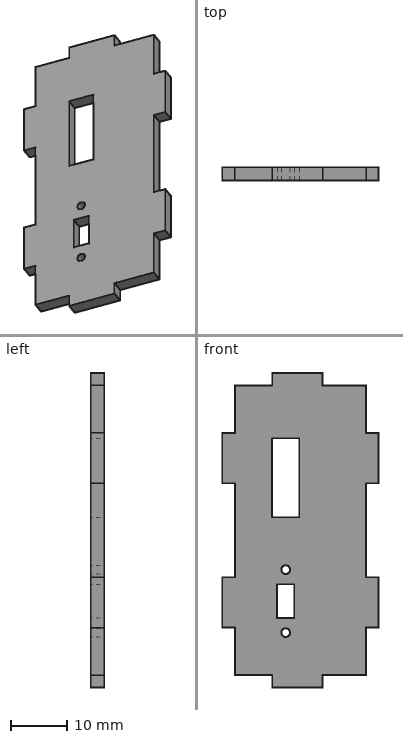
import cadquery as cq

overall_width = 27.9
overall_height = 56.15
thickness = 2.4
tab_depth = 2.25
tab_length = 9.0
body_width = overall_width - 2 * tab_depth
body_height = overall_height - 2 * tab_depth

end_tab_x = -0.55
side_tab_z = 12.85

opening_x = -2.65
large_window_width = 4.85
large_window_height = 14.05
large_window_z = 9.4
small_window_width = 3.05
small_window_height = 5.95
small_window_z = -12.65
screw_hole_diameter = 1.5
screw_hole_spacing = 11.25


def block(width, height, x=0, z=0):
    """Rectangular block through the full plate thickness, centred at (x, z)."""
    return cq.Workplane("XY").box(width, thickness, height).translate((x, 0, z))


def screw_hole(z):
    """Cylinder through the plate on the opening centre line."""
    return (
        cq.Workplane("XZ")
        .center(opening_x, z)
        .circle(screw_hole_diameter / 2)
        .extrude(thickness / 2, both=True)
    )


plate = block(body_width, body_height)
plate = plate.union(block(tab_length, overall_height, end_tab_x))
for side in (-1, 1):
    plate = plate.union(block(overall_width, tab_length, z=side * side_tab_z))

plate = plate.cut(block(large_window_width, large_window_height, opening_x, large_window_z))
plate = plate.cut(block(small_window_width, small_window_height, opening_x, small_window_z))

for side in (-1, 1):
    plate = plate.cut(screw_hole(small_window_z + side * screw_hole_spacing / 2))

result = plate